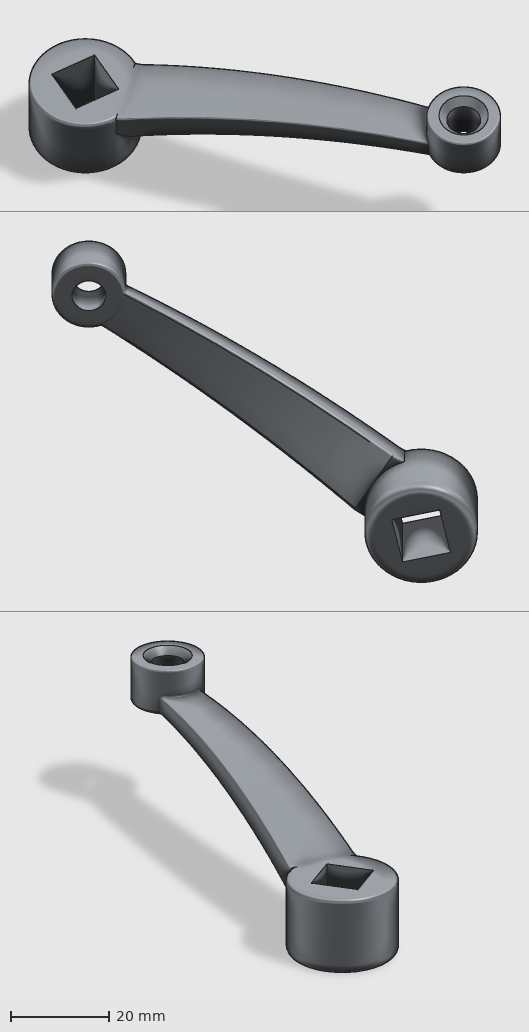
import cadquery as cq

length = 99.0
height = 34.0

hub_diameter = 23.0
hub_height = 16.9
hub_top_round = 1.0
hub_bottom_round = 2.0
socket_side = 10.0

boss_diameter = 15.0
boss_height = 10.0
boss_top_round = 0.5
boss_bottom_round = 0.8
pin_hole_diameter = 6.8
countersink_diameter = 10.0
countersink_angle = 90
boss_x = length - (hub_diameter + boss_diameter) / 2
boss_base = height - boss_height

arm_root_x = 8.5
arm_end_x = boss_x - boss_diameter / 4
arm_root_half_width = 7.5
arm_end_half_width = 4.5
arm_root_bottom = 11.6
arm_bend_top_x = 9.5
arm_bend_bottom_x = hub_diameter / 2
arm_middle_x = 39.6
arm_middle_top = 25.4
arm_middle_bottom = 20.2
arm_end_bottom = 24.1
arm_end_top = 27.7
arm_edge_round = 0.5
root_bend_radius = 4.95
boss_joint_radius = 0.4


def rounded_cylinder(diameter, tall, top_round, bottom_round):
    """Upright cylinder standing on z = 0 with both rims rounded."""
    body = cq.Workplane("XY").circle(diameter / 2).extrude(tall)
    body = body.faces(">Z").edges().fillet(top_round)
    return body.faces("<Z").edges().fillet(bottom_round)


def make_arm():
    """Arched side profile trimmed to a plan that narrows towards the boss."""
    profile = (
        cq.Workplane("XZ")
        .moveTo(arm_root_x, arm_root_bottom)
        .lineTo(arm_bend_bottom_x, arm_root_bottom)
        .threePointArc((arm_middle_x, arm_middle_bottom), (arm_end_x, arm_end_bottom))
        .lineTo(arm_end_x, arm_end_top)
        .threePointArc((arm_middle_x, arm_middle_top), (arm_bend_top_x, hub_height))
        .lineTo(arm_root_x, hub_height)
        .close()
        .extrude(arm_root_half_width, both=True)
    )
    bend_edge = cq.selectors.NearestToPointSelector((arm_bend_top_x, 0, hub_height))
    profile = profile.edges("|Y").edges(bend_edge).fillet(root_bend_radius)
    plan = (
        cq.Workplane("XY")
        .polyline([
            (arm_root_x, -arm_root_half_width),
            (arm_end_x, -arm_end_half_width),
            (arm_end_x, arm_end_half_width),
            (arm_root_x, arm_root_half_width),
        ])
        .close()
        .extrude(height)
    )
    arm = profile.intersect(plan)
    rims = arm.faces("<Y or >Y").edges("not |Z")
    return rims.fillet(arm_edge_round)


hub = rounded_cylinder(hub_diameter, hub_height, hub_top_round, hub_bottom_round)
boss = rounded_cylinder(boss_diameter, boss_height, boss_top_round, boss_bottom_round)
boss = boss.translate((boss_x, 0, boss_base))

boss_joint = cq.selectors.NearestToPointSelector((boss_x - boss_diameter / 2, 0, arm_end_top))
arm_and_boss = make_arm().union(boss).edges(boss_joint).fillet(boss_joint_radius)
body = hub.union(arm_and_boss)

socket = cq.Workplane("XY").rect(socket_side, socket_side).extrude(hub_height)
body = body.cut(socket.rotate((0, 0, 0), (0, 0, 1), 45))

result = (
    body.faces(">Z").workplane(origin=(boss_x, 0, height))
    .cskHole(pin_hole_diameter, countersink_diameter, countersink_angle)
)